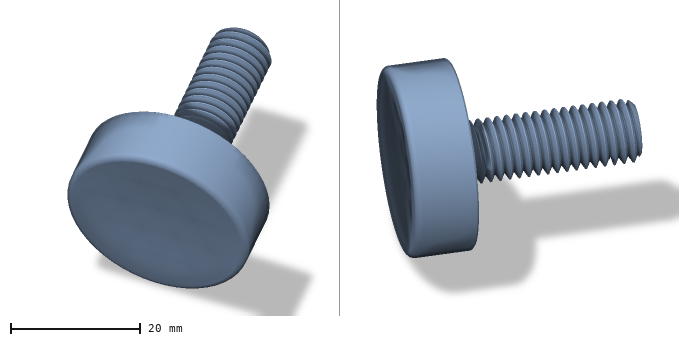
import cadquery as cq
import math

TOTAL_LENGTH = 38.0

HEAD_DIAMETER = 30.0
HEAD_THICKNESS = 10.0
FRONT_ROUND = 1.0
BACK_CHAMFER = 0.3
DISH_DEPTH = 1.0

STUD_DIAMETER = 10.0
TIP_CHAMFER = 1.0
STUD_LENGTH = TOTAL_LENGTH - HEAD_THICKNESS

PITCH = 0.15 * STUD_DIAMETER
THREAD_DEPTH = 1.03
CREST_FLAT = 0.15
FLANK_ANGLE = 30.0
RIDGE_EMBED = 0.08
TURNS_PAST_LAST_CREST = 3
CORE_EXCESS = 3 * PITCH
ENVELOPE_CLEARANCE = 0.38
LAST_CREST_SETBACK = 2.13


def make_head():
    """Disc with a rounded, shallow dished front and a chamfered back edge."""
    disc = (
        cq.Workplane("XZ")
        .circle(HEAD_DIAMETER / 2)
        .extrude(-HEAD_THICKNESS)
        .faces("<Y")
        .edges()
        .fillet(FRONT_ROUND)
        .faces(">Y")
        .edges()
        .chamfer(BACK_CHAMFER)
    )
    rim_radius = HEAD_DIAMETER / 2 - FRONT_ROUND
    sphere_radius = (rim_radius**2 + DISH_DEPTH**2) / (2 * DISH_DEPTH)
    dish = cq.Workplane("XY").sphere(sphere_radius).translate((0, DISH_DEPTH - sphere_radius, 0))
    return disc.cut(dish)


def make_thread_ridge():
    """Helical ridge about Z, running past both ends of a stud that starts at Z = 0."""
    crest_radius = STUD_DIAMETER / 2
    foot_radius = crest_radius - THREAD_DEPTH - RIDGE_EMBED
    crest_half = CREST_FLAT / 2
    foot_half = crest_half + (crest_radius - foot_radius) * math.tan(math.radians(FLANK_ANGLE))

    last_crest_height = STUD_LENGTH - LAST_CREST_SETBACK
    turns_below = math.ceil(last_crest_height / PITCH) + 1
    start_height = last_crest_height - turns_below * PITCH
    turns = turns_below + TURNS_PAST_LAST_CREST

    section = [
        (foot_radius, start_height - foot_half),
        (crest_radius, start_height - crest_half),
        (crest_radius, start_height + crest_half),
        (foot_radius, start_height + foot_half),
    ]
    ridge_length = turns * PITCH
    helices = [
        cq.Wire.makeHelix(PITCH, ridge_length, radius, center=cq.Vector(0, 0, height))
        for radius, height in section
    ]
    sides = [
        cq.Face.makeRuledSurface(helix, helices[(index + 1) % len(helices)])
        for index, helix in enumerate(helices)
    ]
    end_caps = []
    for rise in (0, ridge_length):
        corners = [cq.Vector(radius, 0, height + rise) for radius, height in section]
        end_caps.append(cq.Face.makeFromWires(cq.Wire.makePolygon(corners, close=True)))
    ridge = cq.Solid.makeSolid(cq.Shell.makeShell(sides + end_caps))
    return ridge.rotate((0, 0, 0), (0, 0, 1), 180)


def make_stud():
    """Threaded rod with a chamfered tip, standing on the back of the head."""
    core = (
        cq.Workplane("XY")
        .workplane(offset=-CORE_EXCESS)
        .circle(STUD_DIAMETER / 2 - THREAD_DEPTH)
        .extrude(STUD_LENGTH + 2 * CORE_EXCESS)
    )
    envelope = (
        cq.Workplane("XY")
        .circle(STUD_DIAMETER / 2 + ENVELOPE_CLEARANCE)
        .extrude(STUD_LENGTH)
        .faces(">Z")
        .chamfer(TIP_CHAMFER + ENVELOPE_CLEARANCE)
    )
    rod = core.union(cq.Workplane(make_thread_ridge()), clean=False).intersect(envelope, clean=False)
    return rod.rotate((0, 0, 0), (1, 0, 0), -90).translate((0, HEAD_THICKNESS, 0))


head = make_head()
stud = make_stud()

result = cq.Compound.makeCompound([*head.vals(), *stud.solids().vals()])